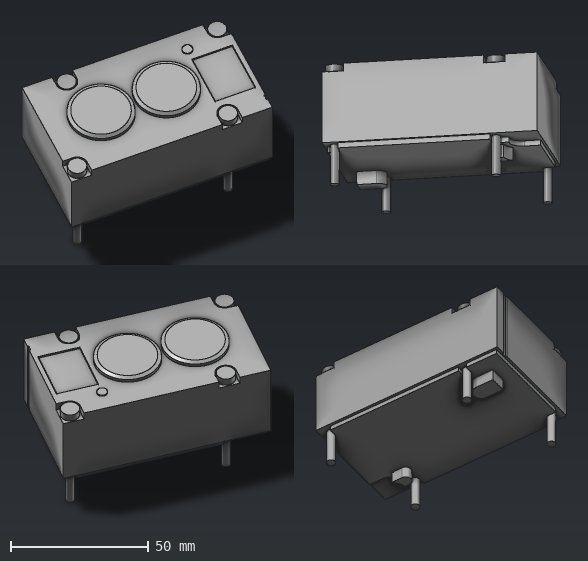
import cadquery as cq

width = 45.0
length = 80.0
height = 30.0

screw_inset = 4.0
screw_mid_inset = 16.0
head_radius = 3.5
pocket_radius = screw_inset
pocket_depth = 3.0
shank_radius = 1.7
shank_length = 15.0
left_x = screw_inset
right_x = width - screw_inset
rear_left = (left_x, length - screw_inset)
front_left = (left_x, screw_mid_inset)
rear_right = (right_x, length - screw_mid_inset)
front_right = (right_x, screw_inset)
screws = [rear_left, front_left, rear_right, front_right]

shared_runouts = [
    (rear_left, 0, length),
    (rear_right, width, None),
    (front_right, width, 0),
]

dial_radius = 12.5
dial_height = 2.0
dial_bevel_height = 0.7
dial_bevel_width = 1.4
dial_x = width / 2
dial_y = 21.6
dial_pitch = 26.0
dial_count = 2

button_center = (8.4, 62.2)
button_radius = 2.0
button_height = 0.5
window_left = 13.0
window_front = 62.0
window_width = 21.1
window_length = 16.0
window_depth = 0.7

groove_x = 39.7
groove_width = 2.1
groove_depth = 0.6

plate_margin = 1.0
plate_thickness = 2.0
plate_bottom = -plate_thickness
shank_notch_radius = 1.8
cable_x = 7.0
cable_y = 7.0
cable_radius = 4.7

foot_height = 5.0
foot_bottom = plate_bottom - foot_height
front_foot_left = 8.0
front_foot_width = 4.6
front_foot_rear = 18.2
front_foot_clearance_radius = 7.2
rear_foot_x = 34.2
rear_foot_radius = 3.3
rear_foot_front = 62.4
rear_foot_rear = 73.0


def block(x0, x1, y0, y1, z0, z1):
    """Box between two opposite corners."""
    return cq.Workplane("XY").box(x1 - x0, y1 - y0, z1 - z0, centered=False).translate((x0, y0, z0))


def disc(center, radius, z0, z1):
    """Vertical cylinder between two heights."""
    return cq.Workplane("XY", origin=(0, 0, z0)).center(*center).circle(radius).extrude(z1 - z0)


def edge_notch(center, radius, x_side, y_side, z0, z1):
    """Round-ended notch about a screw axis, running out at x_side and, if given, at y_side."""
    x, y = center
    x_near, x_far = sorted((x, x_side))
    notch = disc(center, radius, z0, z1)
    notch = notch.union(block(x_near, x_far, y - radius, y + radius, z0, z1))
    if y_side is not None:
        y_near, y_far = sorted((y, y_side))
        notch = notch.union(block(x - radius, x + radius, y_near, y_far, z0, z1))
        notch = notch.union(block(x_near, x_far, y_near, y_far, z0, z1))
    return notch


def make_housing():
    housing = block(0, width, 0, length, 0, height)
    pocket_floor = height - pocket_depth
    for center, x_side, y_side in shared_runouts + [(front_left, 0, None)]:
        housing = housing.cut(edge_notch(center, pocket_radius, x_side, y_side, pocket_floor, height))
    window = block(
        window_left, window_left + window_width,
        window_front, window_front + window_length,
        height - window_depth, height,
    )
    groove = block(
        groove_x - groove_width / 2, groove_x + groove_width / 2,
        length - groove_depth, length,
        0, height,
    )
    return housing.cut(window).cut(groove)


def make_dial(y):
    rim_height = dial_height - dial_bevel_height
    profile = [
        (0, 0),
        (dial_radius, 0),
        (dial_radius, rim_height),
        (dial_radius - dial_bevel_width, dial_height),
        (0, dial_height),
    ]
    dial = cq.Workplane("XZ").polyline(profile).close().revolve(360, (0, 0), (0, 1))
    return dial.translate((dial_x, y, height))


def make_base_plate():
    plate = block(plate_margin, width - plate_margin, plate_margin, length - plate_margin, plate_bottom, 0)
    for center, x_side, y_side in shared_runouts + [(front_left, 0, 0)]:
        plate = plate.cut(edge_notch(center, shank_notch_radius, x_side, y_side, plate_bottom, 0))
    plate = plate.cut(disc((cable_x, cable_y), cable_radius, plate_bottom, 0))
    return plate.cut(block(cable_x - cable_radius, cable_x + cable_radius, 0, cable_y, plate_bottom, 0))


def make_front_foot():
    """Foot with a round rear end and a front hollowed about the cable entry."""
    radius = front_foot_width / 2
    center = (front_foot_left + radius, front_foot_rear - radius)
    foot = disc(center, radius, foot_bottom, plate_bottom)
    foot = foot.union(
        block(
            front_foot_left, front_foot_left + front_foot_width,
            cable_y, center[1],
            foot_bottom, plate_bottom,
        )
    )
    return foot.cut(disc((cable_x, cable_y), front_foot_clearance_radius, foot_bottom, plate_bottom))


def make_rear_foot():
    """Foot with a round front end and a flat rear."""
    center = (rear_foot_x, rear_foot_front + rear_foot_radius)
    foot = disc(center, rear_foot_radius, foot_bottom, plate_bottom)
    return foot.union(
        block(
            rear_foot_x - rear_foot_radius, rear_foot_x + rear_foot_radius,
            center[1], rear_foot_rear,
            foot_bottom, plate_bottom,
        )
    )


result = make_housing()
for dial_index in range(dial_count):
    result = result.union(make_dial(dial_y + dial_index * dial_pitch))
result = result.union(disc(button_center, button_radius, height, height + button_height))
result = result.union(make_base_plate())
result = result.union(make_front_foot())
result = result.union(make_rear_foot())
for screw in screws:
    result = result.union(disc(screw, head_radius, height - pocket_depth, height))
    result = result.union(disc(screw, shank_radius, -shank_length, 0))